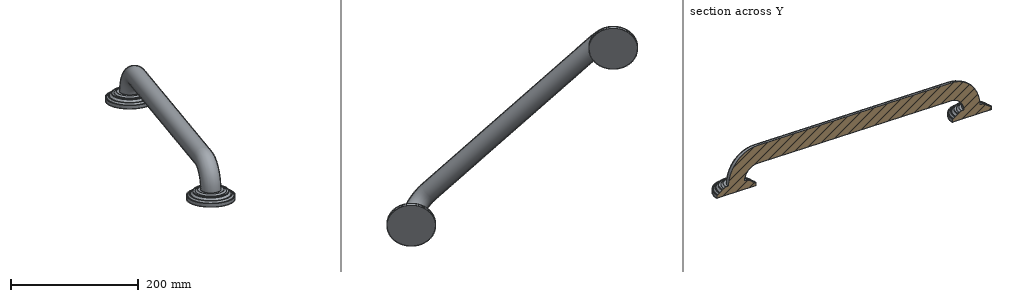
import cadquery as cq

overall_length = 533.5
overall_height = 70.0
flange_diameter = 76.5
tube_diameter = 32.0
bend_radius = 40.5

base_height = 6.0
base_top_radius = 36.5
middle_radius = 33.5
middle_slope_radius = 32.0
middle_height = 8.5
upper_radius = 28.5
upper_slope_height = 12.0
upper_height = 13.5
top_outer_radius = 24.5
top_radius = 21.0
flange_height = 15.5

flange_radius = flange_diameter / 2
tube_radius = tube_diameter / 2
post_x = overall_length / 2 - flange_radius
tube_axis_z = overall_height - tube_radius
bend_start_z = tube_axis_z - bend_radius
straight_end_x = post_x - bend_radius


def make_flange(center_x):
    """Stepped round wall flange, revolved about its vertical axis."""
    profile = (
        cq.Workplane("XZ")
        .lineTo(flange_radius, 0)
        .lineTo(flange_radius, base_height)
        .lineTo(base_top_radius, base_height)
        .lineTo(middle_radius, middle_height)
        .lineTo(middle_slope_radius, middle_height)
        .lineTo(upper_radius, upper_slope_height)
        .lineTo(upper_radius, upper_height)
        .lineTo(top_outer_radius, upper_height)
        .lineTo(top_radius, flange_height)
        .lineTo(0, flange_height)
        .close()
    )
    flange = profile.revolve(360, (0, 0, 0), (0, 1, 0))
    return flange.translate((center_x, 0, 0))


def make_bar():
    """Round bar rising from one flange, bending over and down to the other."""
    path = (
        cq.Workplane("XZ")
        .moveTo(-post_x, 0)
        .lineTo(-post_x, bend_start_z)
        .tangentArcPoint((-straight_end_x, tube_axis_z), relative=False)
        .lineTo(straight_end_x, tube_axis_z)
        .tangentArcPoint((post_x, bend_start_z), relative=False)
        .lineTo(post_x, 0)
    )
    return cq.Workplane("XY").center(-post_x, 0).circle(tube_radius).sweep(path)


result = make_bar()
for flange_x in (-post_x, post_x):
    result = result.union(make_flange(flange_x))